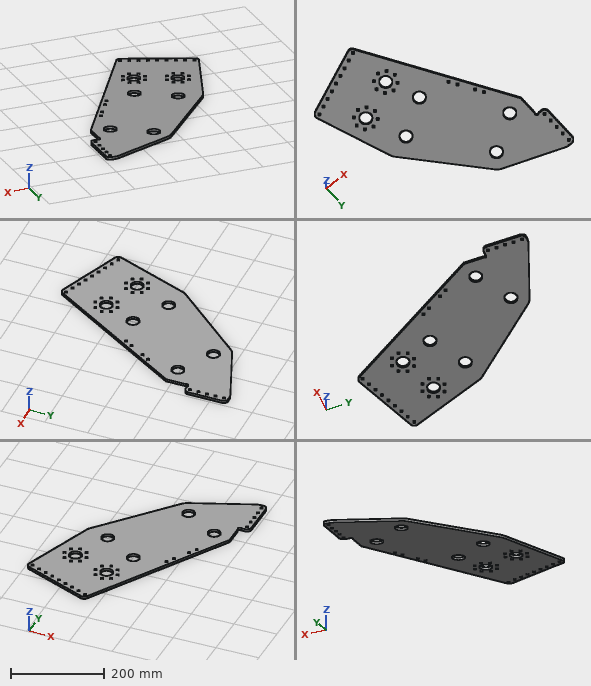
import cadquery as cq
import math

thickness = 6.0
width = 386.5
height = 476.0
foot_left = (-3.0, 64.8)
foot_right = (160.0, -2.5)
left_bend = (64.8, 247.0)
shoulder = (216.5, 420.0)
tab_top_left = (364.5, height)
tab_bottom = 377.0
neck_x = 362.0
neck_bottom = 325.5

corner_radius = 10.0
bend_radius = 28.5
relief_radius = 4.5

opening_diameter = 28.0
plain_openings = [(240.5, 386.0), (321.0, 336.5), (117.0, 231.5), (198.0, 182.0)]
bolted_openings = [(79.5, 143.0), (167.0, 107.0)]
bolt_circle_radius = 25.5
bolts_per_circle = 8

small_diameter = 5.0
tab_hole_inset = 10.0
tab_hole_count = 5
foot_hole_first = (10.0, 70.5)
foot_hole_last = (158.0, 10.0)
foot_hole_count = 9
edge_holes = [(311.5, 263.5), (301.0, 246.0), (280.0, 212.5), (269.5, 195.0)]


def spaced_points(first, last, count):
    """Evenly spaced points from first to last, both included."""
    step_x = (last[0] - first[0]) / (count - 1)
    step_y = (last[1] - first[1]) / (count - 1)
    return [(first[0] + i * step_x, first[1] + i * step_y) for i in range(count)]


def circle_points(center, radius, count):
    """Evenly spaced points around a circle, starting on the +X side."""
    angles = [2 * math.pi * i / count for i in range(count)]
    return [(center[0] + radius * math.cos(a), center[1] + radius * math.sin(a)) for a in angles]


def round_upright_edge(body, point, radius):
    """Round the upright edge nearest to an outline corner."""
    nearest = cq.selectors.NearestToPointSelector((point[0], point[1], thickness / 2))
    return body.edges("|Z").edges(nearest).fillet(radius)


def make_plate():
    tab_upper_corner = (width, height)
    tab_lower_corner = (width, tab_bottom)
    outline = [
        foot_left,
        foot_right,
        (neck_x, neck_bottom),
        (neck_x, tab_bottom),
        tab_lower_corner,
        tab_upper_corner,
        tab_top_left,
        shoulder,
        left_bend,
    ]
    body = cq.Workplane("XY").polyline(outline).close().extrude(thickness)
    for corner in (foot_left, foot_right, tab_lower_corner, tab_upper_corner):
        body = round_upright_edge(body, corner, corner_radius)
    for bend in (tab_top_left, shoulder, left_bend):
        body = round_upright_edge(body, bend, bend_radius)
    return body


def drill(body, centers, diameter):
    """Cut through holes at the given centers."""
    cutters = cq.Workplane("XY").pushPoints(centers).circle(diameter / 2).extrude(thickness)
    return body.cut(cutters)


plate = make_plate()

relief_offset = relief_radius / math.sqrt(2)
relief_center = (neck_x + relief_offset, tab_bottom - relief_offset)
plate = drill(plate, [relief_center], 2 * relief_radius)

plate = drill(plate, plain_openings + bolted_openings, opening_diameter)

tab_hole_x = width - tab_hole_inset
small_holes = spaced_points(
    (tab_hole_x, tab_bottom + tab_hole_inset),
    (tab_hole_x, height - tab_hole_inset),
    tab_hole_count,
)
small_holes += spaced_points(foot_hole_first, foot_hole_last, foot_hole_count)
small_holes += edge_holes
for opening in bolted_openings:
    small_holes += circle_points(opening, bolt_circle_radius, bolts_per_circle)

result = drill(plate, small_holes, small_diameter)